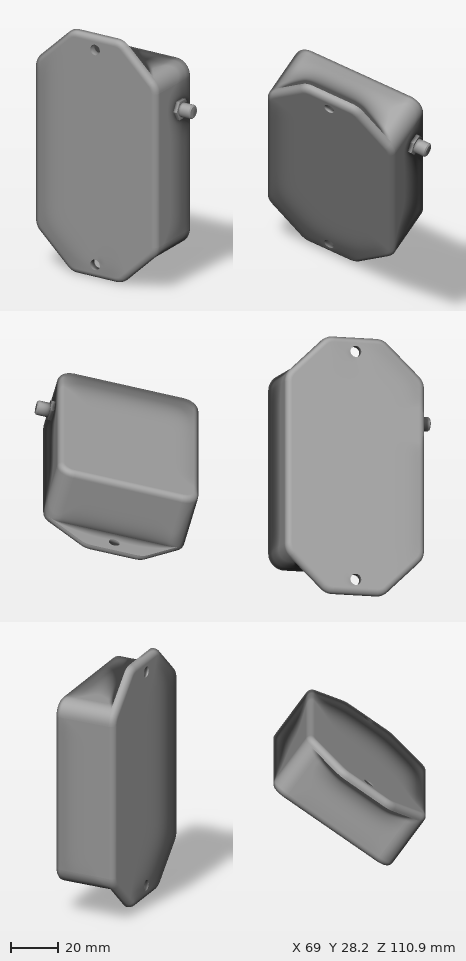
import cadquery as cq
import math

body_width = 61.8
body_height = 84.3
total_depth = 28.2
corner_radius = 7.1
edge_radius = 2.5

plate_height = 110.9
plate_thickness = 3.2
end_flat_length = 19.5
hole_diameter = 4.8
hole_edge_distance = 6.3

connector_length = 7.2
nut_across_flats = 8.2
nut_thickness = 1.7
barrel_diameter = 6.2
tip_chamfer = 0.5
connector_y = 18.1
connector_z = 22.8
embed_depth = 1.1

HEX_CORNER_RATIO = 2 / 3**0.5


def make_body():
    """Box behind the plate, with rounded upright corners and a rounded back rim."""
    return (
        cq.Workplane("XZ", origin=(0, total_depth, 0))
        .rect(body_width, body_height)
        .extrude(total_depth - plate_thickness)
        .edges("|Y")
        .fillet(corner_radius)
        .faces(">Y")
        .edges()
        .fillet(edge_radius)
    )


def make_plate():
    """Octagonal plate whose side corners share the arcs of the body corners."""
    side_x = body_width / 2 - corner_radius
    side_z = body_height / 2 - corner_radius
    end_x = end_flat_length / 2
    end_z = plate_height / 2 - corner_radius
    slant_normal = math.atan2(side_x - end_x, end_z - side_z)

    def arc_point(center_x, center_z, angle):
        return (center_x + corner_radius * math.cos(angle), center_z + corner_radius * math.sin(angle))

    quarter = (
        cq.Workplane("XZ", origin=(0, plate_thickness, 0))
        .lineTo(body_width / 2, 0)
        .lineTo(body_width / 2, side_z)
        .threePointArc(
            arc_point(side_x, side_z, slant_normal / 2),
            arc_point(side_x, side_z, slant_normal),
        )
        .lineTo(*arc_point(end_x, end_z, slant_normal))
        .threePointArc(
            arc_point(end_x, end_z, (slant_normal + math.pi / 2) / 2),
            (end_x, plate_height / 2),
        )
        .lineTo(0, plate_height / 2)
        .close()
        .extrude(plate_thickness)
    )
    half = quarter.union(quarter.mirror("YZ"))
    plate = half.union(half.mirror("XY")).clean()
    return plate.faces("<Y").edges().fillet(edge_radius)


def make_mounting_holes():
    """Through-hole cutters near both ends of the plate."""
    hole_z = plate_height / 2 - hole_edge_distance
    return (
        cq.Workplane("XZ", origin=(0, plate_thickness, 0))
        .pushPoints([(0, hole_z), (0, -hole_z)])
        .circle(hole_diameter / 2)
        .extrude(plate_thickness)
    )


def make_connector():
    """Hexagonal nut and round barrel with a chamfered tip, rooted inside the body wall."""
    start = cq.Workplane("YZ", origin=(body_width / 2 - embed_depth, connector_y, connector_z))
    nut = start.polygon(6, nut_across_flats * HEX_CORNER_RATIO).extrude(embed_depth + nut_thickness)
    barrel = (
        start.circle(barrel_diameter / 2)
        .extrude(embed_depth + connector_length)
        .faces(">X")
        .chamfer(tip_chamfer)
    )
    return nut.union(barrel)


result = make_body().union(make_plate()).cut(make_mounting_holes()).union(make_connector())